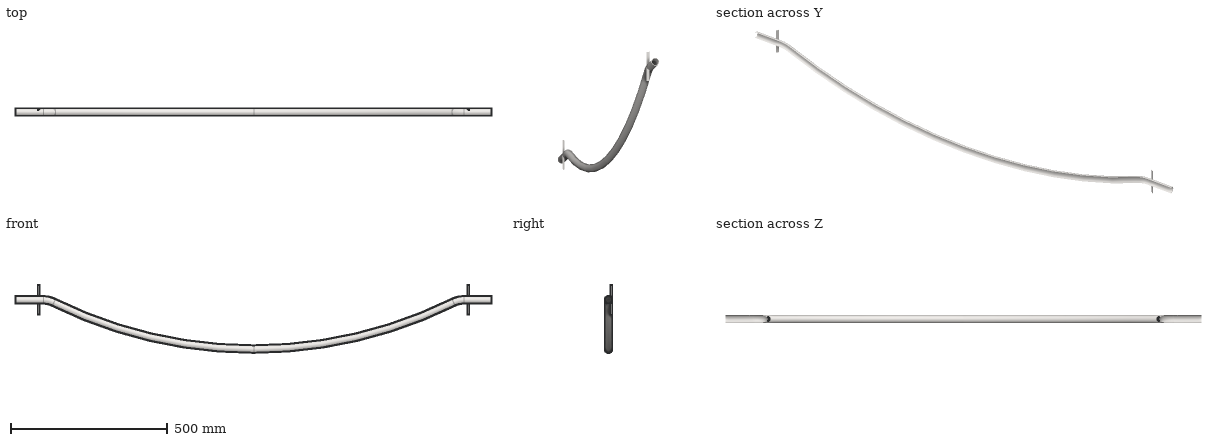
import cadquery as cq
import math

SPAN = 1524.0
TUBE_DIAMETER = 25.4
OVERALL_HEIGHT = 217.81

WALL_THICKNESS = 1.65
STRAIGHT_END_LENGTH = 88.9
BEND_RADIUS = 76.2

TAB_HEIGHT = 95.25
TAB_WIDTH = 9.525
TAB_THICKNESS = 1.5
TAB_ANGLE = 45.0
TAB_OFFSET = 687.0

TUBE_RADIUS = TUBE_DIAMETER / 2
BORE_RADIUS = TUBE_RADIUS - WALL_THICKNESS
HALF_SPAN = SPAN / 2
BEND_START = HALF_SPAN - STRAIGHT_END_LENGTH
DROP = OVERALL_HEIGHT - TAB_HEIGHT / 2 - TUBE_RADIUS
BEND_ANGLE = 2 * math.atan2(DROP, BEND_START)
BOW_RADIUS = BEND_START / math.sin(BEND_ANGLE) - BEND_RADIUS


def bend_point(angle):
    """Centreline point of the right-hand bend, after turning by angle from the straight end."""
    x = BEND_START - BEND_RADIUS * math.sin(angle)
    z = -BEND_RADIUS * (1 - math.cos(angle))
    return x, z


def half_centreline():
    """Right half of the centreline, from the bottom of the bow to the tube end."""
    bow_center_z = BOW_RADIUS - DROP
    half_angle = BEND_ANGLE / 2
    bow_middle = (
        BOW_RADIUS * math.sin(half_angle),
        bow_center_z - BOW_RADIUS * math.cos(half_angle),
    )
    return (
        cq.Workplane("XZ")
        .moveTo(0, -DROP)
        .threePointArc(bow_middle, bend_point(BEND_ANGLE))
        .threePointArc(bend_point(half_angle), (BEND_START, 0))
        .lineTo(HALF_SPAN, 0)
    )


def half_rod(radius):
    """Solid round bar along the right half of the centreline."""
    section = cq.Workplane("YZ").center(0, -DROP).circle(radius)
    return section.sweep(half_centreline())


def tab():
    """Upright flat tab on the right, turned about Z, its rear corner level with the tube's back."""
    angle = math.radians(TAB_ANGLE)
    depth = TAB_WIDTH * math.sin(angle) + TAB_THICKNESS * math.cos(angle)
    return (
        cq.Workplane("XY")
        .box(TAB_WIDTH, TAB_THICKNESS, TAB_HEIGHT)
        .rotate((0, 0, 0), (0, 0, 1), -TAB_ANGLE)
        .translate((TAB_OFFSET, TUBE_RADIUS - depth / 2, 0))
    )


half = half_rod(TUBE_RADIUS).union(tab()).cut(half_rod(BORE_RADIUS))
result = half.union(half.mirror("YZ"))